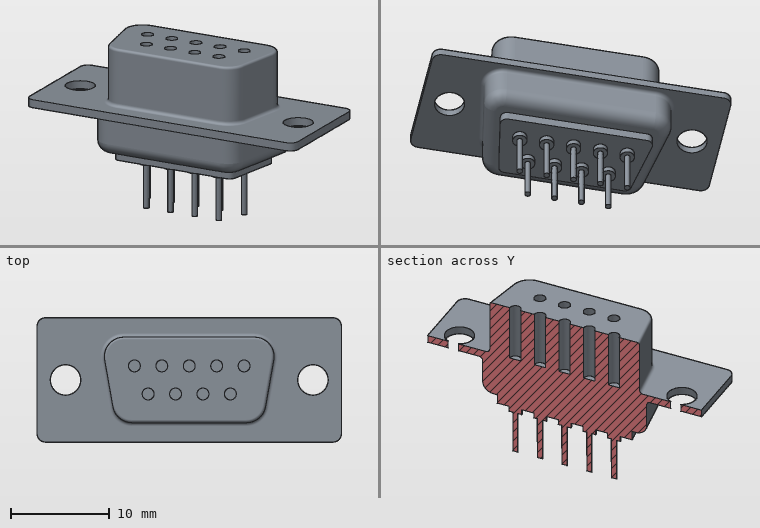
import cadquery as cq
import math

flange_length = 30.8
flange_width = 12.6
flange_thickness = 0.85
flange_corner_radius = 0.9
mount_hole_diameter = 3.05
mount_hole_spacing = 25.02

side_angle = math.radians(10)

shell_length = 17.15
shell_width = 8.65
shell_height = 6.13
shell_corner_radius = 1.97
shell_rim_radius = 0.28
shell_root_radius = 0.37

rear_length = 19.2
rear_width = 10.95
rear_height = 4.1
rear_corner_radius = 1.9
rear_rim_radius = 1.23
rear_root_radius = 0.37

block_length = 15.68
block_width = 7.05
block_height = 1.02
block_corner_radius = 0.68

contact_pitch = 2.77
row_spacing = 2.83
row_counts = {row_spacing / 2: 5, -row_spacing / 2: 4}
socket_diameter = 1.2
socket_depth = shell_height
collar_diameter = 1.45
collar_height = 0.6
pin_diameter = 0.6
pin_length = 4.7

shell_top = flange_thickness + shell_height
rear_bottom = -rear_height
block_bottom = rear_bottom - block_height
collar_bottom = block_bottom - collar_height


def d_prism(length, width, corner_radius, z_start, height):
    """Prism with a rounded D outline; its length is taken across the two +Y corner arcs."""
    half_width = width / 2
    wide_center_x = length / 2 - corner_radius
    corner_setback = corner_radius * math.tan(math.pi / 4 + side_angle / 2)
    wide_half = wide_center_x + corner_setback
    narrow_half = wide_half - width * math.tan(side_angle)
    corners = [
        (-wide_half, half_width),
        (wide_half, half_width),
        (narrow_half, -half_width),
        (-narrow_half, -half_width),
    ]
    prism = cq.Workplane("XY").workplane(offset=z_start).polyline(corners).close().extrude(height)
    return prism.edges("|Z").fillet(corner_radius)


def add_root_fillet(body, wall_length, wall_width, z_root, radius):
    """Fillet the loop where a D-shaped wall meets the flange at height z_root."""
    reach = radius / 4
    low = (-wall_length / 2 - reach, -wall_width / 2 - reach, z_root - reach)
    high = (wall_length / 2 + reach, wall_width / 2 + reach, z_root + reach)
    return body.edges(cq.selectors.BoxSelector(low, high, boundingbox=True)).fillet(radius)


def contact_positions():
    """Contact centers, each row centered on X = 0."""
    return [
        ((index - (count - 1) / 2) * contact_pitch, row_y)
        for row_y, count in row_counts.items()
        for index in range(count)
    ]


def contact_cylinders(diameter, z_start, height):
    """One cylinder at every contact position."""
    plane = cq.Workplane("XY").workplane(offset=z_start)
    return plane.pushPoints(contact_positions()).circle(diameter / 2).extrude(height)


flange = cq.Workplane("XY").box(
    flange_length, flange_width, flange_thickness, centered=(True, True, False)
)
flange = flange.edges("|Z").fillet(flange_corner_radius)

shell = d_prism(shell_length, shell_width, shell_corner_radius, flange_thickness, shell_height)
shell = shell.faces(">Z").edges().fillet(shell_rim_radius)
rear = d_prism(rear_length, rear_width, rear_corner_radius, rear_bottom, rear_height)
rear = rear.faces("<Z").edges().fillet(rear_rim_radius)

body = flange.union(shell).union(rear)
body = add_root_fillet(body, shell_length, shell_width, flange_thickness, shell_root_radius)
body = add_root_fillet(body, rear_length, rear_width, 0, rear_root_radius)

body = body.union(
    d_prism(block_length, block_width, block_corner_radius, block_bottom, block_height)
)
body = body.union(contact_cylinders(collar_diameter, collar_bottom, collar_height))
body = body.union(contact_cylinders(pin_diameter, collar_bottom - pin_length, pin_length))

body = body.cut(contact_cylinders(socket_diameter, shell_top - socket_depth, socket_depth))

mount_holes = (
    cq.Workplane("XY")
    .pushPoints([(-mount_hole_spacing / 2, 0), (mount_hole_spacing / 2, 0)])
    .circle(mount_hole_diameter / 2)
    .extrude(flange_thickness)
)

result = body.cut(mount_holes)